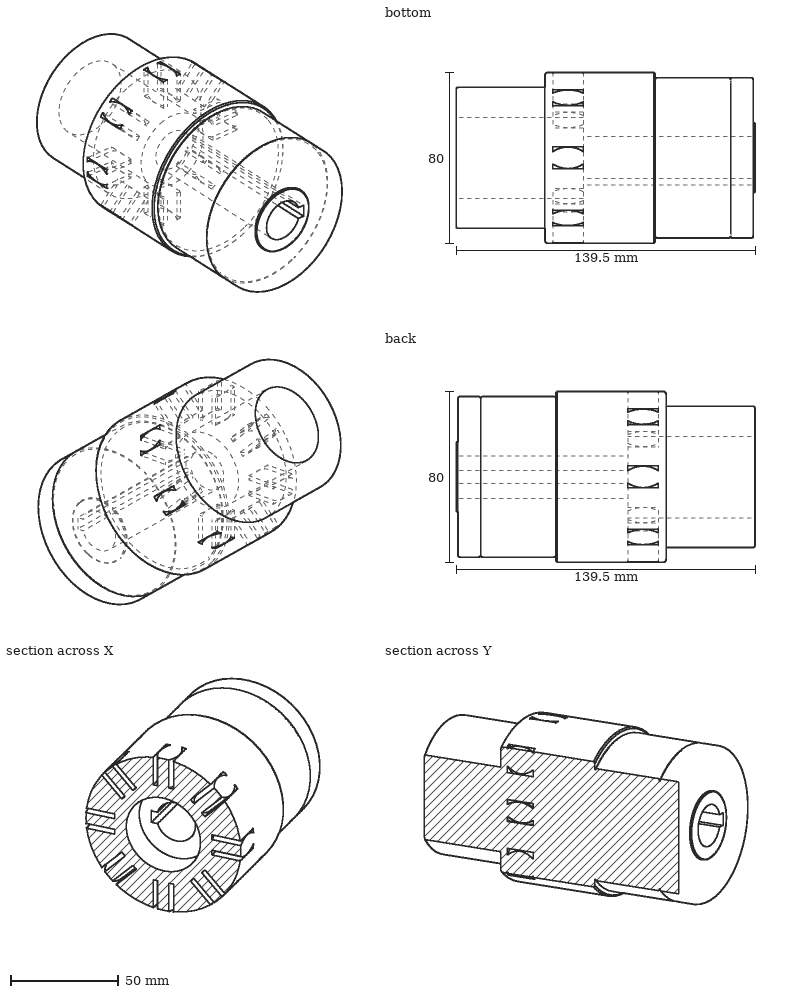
import cadquery as cq

total_length = 139.5
sleeve_start = 41.5
window_start = 45.2
window_end = 59.3
sleeve_end = 92.9
ring_start = 128.0
ring_end = 138.7

slim_hub_diameter = 66.0
sleeve_diameter = 80.0
wide_hub_diameter = 75.0
end_boss_diameter = 32.6
large_bore_diameter = 38.0
small_bore_diameter = 20.0

hub_edge_radius = 1.0
sleeve_front_radius = 1.5
sleeve_back_chamfer = 0.7
boss_chamfer = 0.4

key_width = 6.0
key_top = 12.7

leg_count = 8
leg_slot_width = 10.3
leg_end_width = 5.9
leg_clearance = 0.1
relief_floor_radius = 25.1


def cylinder(start, end, diameter):
    """Solid cylinder about the X axis between two stations."""
    return cq.Workplane("YZ", origin=(start, 0, 0)).circle(diameter / 2).extrude(end - start)


def leg_relief(side):
    """Sliver gap between one jaw and the bulging flank of the leg pointing to +Z."""
    jaw_flank = side * leg_slot_width / 2
    leg_corner = side * leg_end_width / 2
    leg_bulge = side * (leg_slot_width / 2 - leg_clearance)
    window_middle = (window_start + window_end) / 2
    return (
        cq.Workplane("XY", origin=(0, 0, relief_floor_radius))
        .moveTo(window_start, jaw_flank)
        .lineTo(window_start, leg_corner)
        .threePointArc((window_middle, leg_bulge), (window_end, leg_corner))
        .lineTo(window_end, jaw_flank)
        .close()
        .extrude(sleeve_diameter / 2)
    )


slim_hub = cylinder(0, sleeve_start, slim_hub_diameter).faces("<X").edges().fillet(hub_edge_radius)
sleeve = (
    cylinder(sleeve_start, sleeve_end, sleeve_diameter)
    .faces("<X").edges().fillet(sleeve_front_radius)
    .faces(">X").edges().chamfer(sleeve_back_chamfer)
)
wide_hub = (
    cylinder(sleeve_end, ring_start, wide_hub_diameter)
    .faces("<X or >X").edges().fillet(hub_edge_radius)
)
end_ring = (
    cylinder(ring_start, ring_end, wide_hub_diameter)
    .faces("<X or >X").edges().fillet(hub_edge_radius)
)
end_boss = cylinder(ring_end, total_length, end_boss_diameter).faces(">X").edges().chamfer(boss_chamfer)
body = slim_hub.union(sleeve).union(wide_hub).union(end_ring).union(end_boss)

keyway = cq.Workplane("XY").box(total_length, key_top, key_width, centered=(False, False, True))
body = (
    body.cut(cylinder(0, window_end, large_bore_diameter))
    .cut(cylinder(0, total_length, small_bore_diameter))
    .cut(keyway)
)

for leg in range(leg_count):
    angle = leg * 360 / leg_count
    for side in (1, -1):
        body = body.cut(leg_relief(side).rotate((0, 0, 0), (1, 0, 0), angle))

result = body